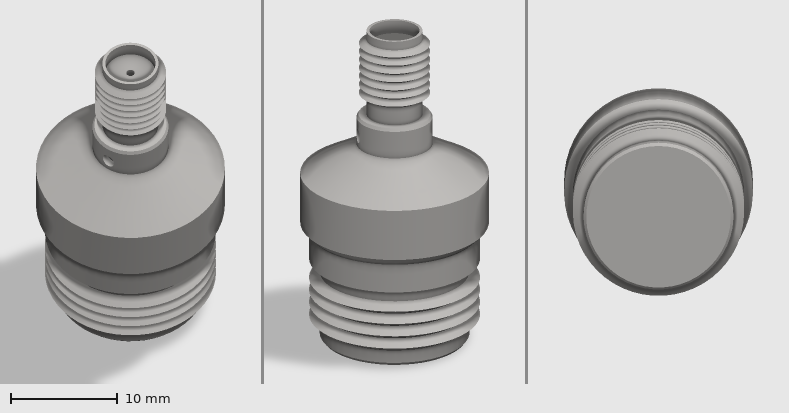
import cadquery as cq

total_height = 31.2
large_thread_bottom = 1.6
large_thread_top = 6.6
ring_bottom = 7.95
ring_top = 10.8
body_bottom = 11.65
body_top = 16.65
collar_bottom = 19.7
collar_top = 22.68
small_thread_bottom = 24.45
small_thread_top = 30.33

body_diameter = 17.65
ring_diameter = 16.0
large_root_diameter = 14.0
large_crest_diameter = ring_diameter
collar_diameter = 7.1
small_root_diameter = 5.25
small_crest_diameter = 6.68

large_ridge_count = 4
small_ridge_count = 7

bottom_chamfer_height = 0.3
bottom_chamfer_width = 0.25
collar_chamfer_height = 0.28
collar_chamfer_width = 0.2

socket_diameter = 4.68
socket_depth = 1.3
contact_hole_diameter = 0.78
contact_hole_depth = 1.87

side_hole_diameter = 1.3
side_hole_depth = 0.75
side_hole_height = 20.8


def ridge_points(bottom, top, count, root_radius, crest_radius):
    """Radius and height of each crest and root of a row of V-shaped ridges, from bottom to top."""
    pitch = (top - bottom) / count
    points = [(root_radius, bottom)]
    for index in range(count):
        points.append((crest_radius, bottom + (index + 0.5) * pitch))
        points.append((root_radius, bottom + (index + 1) * pitch))
    return points


def turned_body():
    """Solid of revolution about Z: large threaded end, body, cone, collar and small threaded end."""
    body_radius = body_diameter / 2
    ring_radius = ring_diameter / 2
    large_root_radius = large_root_diameter / 2
    collar_radius = collar_diameter / 2
    small_root_radius = small_root_diameter / 2

    large_thread = ridge_points(
        large_thread_bottom,
        large_thread_top,
        large_ridge_count,
        large_root_radius,
        large_crest_diameter / 2,
    )
    small_thread = ridge_points(
        small_thread_bottom,
        small_thread_top,
        small_ridge_count,
        small_root_radius,
        small_crest_diameter / 2,
    )
    profile = [
        (0, 0),
        (large_root_radius - bottom_chamfer_width, 0),
        (large_root_radius, bottom_chamfer_height),
        *large_thread,
        (large_root_radius, ring_bottom),
        (ring_radius, ring_bottom),
        (ring_radius, ring_top),
        (body_radius, body_bottom),
        (body_radius, body_top),
        (collar_radius, collar_bottom),
        (collar_radius, collar_top - collar_chamfer_height),
        (collar_radius - collar_chamfer_width, collar_top),
        (small_root_radius, collar_top),
        *small_thread,
        (small_root_radius, total_height),
        (0, total_height),
    ]
    return cq.Workplane("XZ").polyline(profile).close().revolve(360, (0, 0, 0), (0, 1, 0))


def socket():
    """Cutter for the stepped opening in the top end."""
    floor_height = total_height - socket_depth
    recess = (
        cq.Workplane("XY")
        .workplane(offset=floor_height)
        .circle(socket_diameter / 2)
        .extrude(socket_depth)
    )
    contact_hole = (
        cq.Workplane("XY")
        .workplane(offset=floor_height - contact_hole_depth)
        .circle(contact_hole_diameter / 2)
        .extrude(contact_hole_depth)
    )
    return recess.union(contact_hole)


def side_hole():
    """Cutter for the radial hole, entering the collar from -Y."""
    return (
        cq.Workplane("XZ", origin=(0, -collar_diameter / 2, side_hole_height))
        .circle(side_hole_diameter / 2)
        .extrude(side_hole_depth, both=True)
    )


result = turned_body().cut(socket()).cut(side_hole())